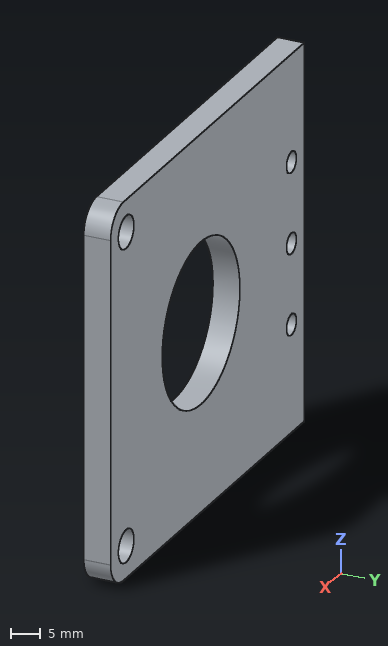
import cadquery as cq

length = 75.0
thickness = 5.0
height = 70.0
corner_radius = 5.0

opening_diameter = 30.0
opening_from_left = 40.0

small_hole_diameter = 3.8
small_hole_inset = 5.0
small_hole_spacing = 15.0
small_hole_count = 3

corner_hole_diameter = 6.0
corner_hole_inset = 6.0


def drill(plate, centres, diameter):
    """Cut through holes along Y at the given (x, z) centres."""
    return (
        plate.faces("<Y")
        .workplane(origin=(0, 0, 0))
        .pushPoints(centres)
        .hole(diameter)
    )


left = -length / 2
corner_hole_x = length / 2 - corner_hole_inset
corner_hole_z = height / 2 - corner_hole_inset
middle_index = (small_hole_count - 1) / 2

opening_centre = [(left + opening_from_left, 0)]
small_hole_centres = [
    (left + small_hole_inset, (i - middle_index) * small_hole_spacing)
    for i in range(small_hole_count)
]
corner_hole_centres = [(corner_hole_x, side * corner_hole_z) for side in (-1, 1)]

plate = cq.Workplane("XY").box(length, thickness, height)
plate = plate.edges("|Y and >X").fillet(corner_radius)

plate = drill(plate, opening_centre, opening_diameter)
plate = drill(plate, small_hole_centres, small_hole_diameter)
plate = drill(plate, corner_hole_centres, corner_hole_diameter)

result = plate